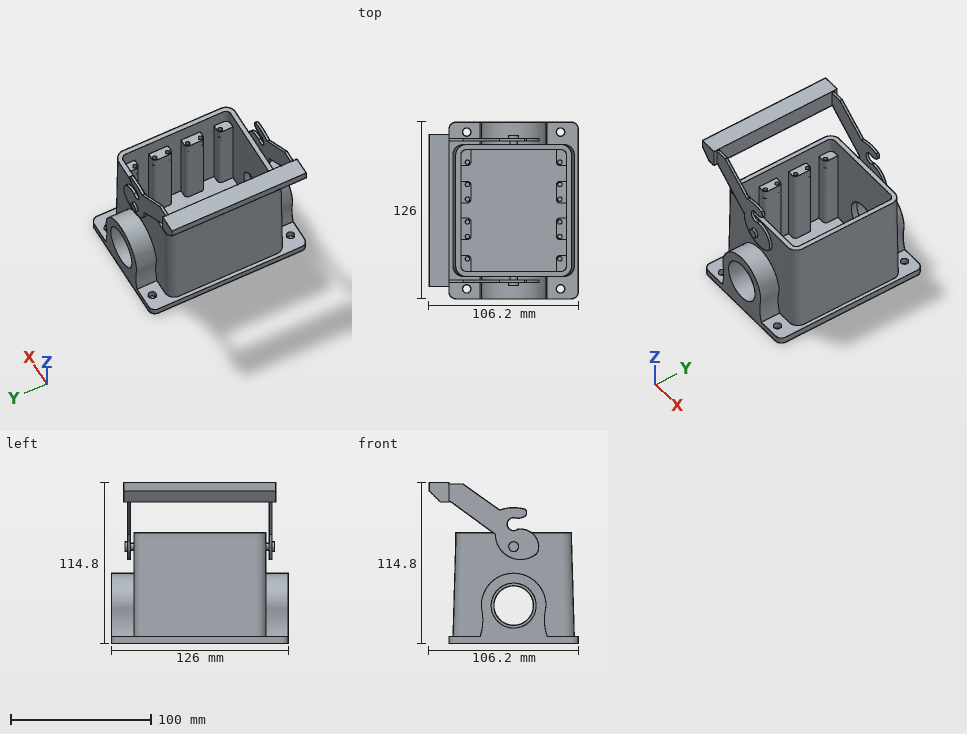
import cadquery as cq
import math

flange_x = 92.2
flange_y = 126.0
flange_thickness = 5.2
flange_corner_radius = 5.2
mounting_hole_diameter = 5.8
mounting_hole_x = 33.4
mounting_hole_y = 55.8

shell_height = 79.0
rim_height = 5.5
shell_top_x = 82.5
shell_bottom_x = 86.4
shell_y = 94.0
shell_corner_radius = 7.5
wall = 3.7
rim_base_z = shell_height - rim_height

pillar_drop = 12.1
pillar_top_z = shell_height - pillar_drop
pillar_face_x = 30.4
pillar_inner_end = 5.3
pillar_outer_end = 20.8
corner_pillar_end = 32.0
pillar_edge_radius = 2.9
screw_hole_diameter = 3.2
screw_hole_depth = 7.5
screw_hole_x = 32.9
screw_hole_ys = (8.1, 18.5, 34.4)

entry_z = 27.1
hood_radius = 23.0
hood_crown_end_z = 29.6
hood_waist_z = 24.5
hood_waist_half_width = 22.7
hood_foot_half_width = 23.8
entry_bore_diameter = 32.0
entry_hole_diameter = 28.0
entry_bore_depth = 14.7

overall_height = 114.8
bar_size = 14.0
bar_chamfer = 8.0
bar_length = 108.4
bar_front_x = -60.1
bar_back_x = bar_front_x + bar_size
bar_bottom_z = overall_height - bar_size

arm_inner_y = 49.4
arm_thickness = 2.0
arm_outer_y = arm_inner_y + arm_thickness
arm_top_z = 113.8
arm_bottom_z = 101.2
arm_top_bend_x = -36.2
arm_bottom_bend_x = -45.1

pivot_z = 69.0
pin_diameter = 5.2
pin_head_diameter = 7.0
pin_head_height = 1.9

slot_centre = (0.0, 85.0)
slot_radius = 4.5
cam_centre = (4.9, 68.7)
cam_radius = 13.0
heel_centre = (cam_centre[0], 77.7)
heel_radius = 17.9
nose_radius = 6.3
hook_root = (-10.0, 95.1)
hook_crest = (0.0, 96.9)
hook_tip_top = (7.8, 95.9)
hook_tip = (9.3, 93.0)
hook_tip_bottom = (8.1, 90.6)
slot_lip_x = 1.0
hook_underside = (4.8, 89.3)


def rounded_slab(size_x, size_y, radius, bottom_z, top_z):
    """Upright block with rounded vertical corners."""
    return (
        cq.Workplane("XY", origin=(0, 0, bottom_z))
        .rect(size_x, size_y)
        .extrude(top_z - bottom_z)
        .edges("|Z")
        .fillet(radius)
    )


def rounded_rectangle(size_x, size_y, radius, height):
    """Flat rounded rectangle at the given height, for lofting."""
    flat = cq.Sketch().rect(size_x, size_y).vertices().fillet(radius)
    return flat.moved(cq.Location(cq.Vector(0, 0, height)))


def shell_outside():
    """Solid outer volume of the shell: leaning walls below an upright rim."""
    walls = (
        cq.Workplane("XY")
        .placeSketch(
            rounded_rectangle(shell_bottom_x, shell_y, shell_corner_radius, flange_thickness),
            rounded_rectangle(shell_top_x, shell_y, shell_corner_radius, rim_base_z),
        )
        .loft(ruled=True)
    )
    rim = rounded_slab(shell_top_x, shell_y, shell_corner_radius, rim_base_z, shell_height)
    return walls.union(rim)


def cavity():
    """Upright-walled space inside the shell, down to the flange top."""
    cavity_x = shell_top_x - 2 * wall
    cavity_y = shell_y - 2 * wall
    return rounded_slab(cavity_x, cavity_y, shell_corner_radius - wall, flange_thickness, shell_height)


def hoods():
    """Arched blocks around both cable entries, flared at the foot."""
    crown_half_width = math.sqrt(hood_radius**2 - (hood_crown_end_z - entry_z) ** 2)
    crown_diagonal = hood_radius * math.sqrt(0.5)
    half = (
        cq.Workplane("XZ", origin=(0, flange_y / 2, 0))
        .moveTo(0, entry_z + hood_radius)
        .threePointArc((crown_diagonal, entry_z + crown_diagonal), (crown_half_width, hood_crown_end_z))
        .tangentArcPoint((hood_waist_half_width, hood_waist_z), relative=False)
        .tangentArcPoint((hood_foot_half_width, flange_thickness), relative=False)
        .lineTo(0, flange_thickness)
        .close()
        .extrude(flange_y)
    )
    return half.union(half.mirror("YZ"))


def pillar(side, end_a, end_b):
    """Pillar rooted halfway into one X wall, spanning Y from end_a to end_b."""
    depth = (shell_top_x - wall) / 2 - pillar_face_x
    face_edges = "|Z and <X" if side > 0 else "|Z and >X"
    centre_x = side * (pillar_face_x + depth / 2)
    centre_y = (end_a + end_b) / 2
    return (
        cq.Workplane("XY", origin=(centre_x, centre_y, flange_thickness))
        .rect(depth, end_b - end_a)
        .extrude(pillar_top_z - flange_thickness)
        .edges(face_edges)
        .fillet(pillar_edge_radius)
    )


def pillars():
    """Two middle pillars and two corner pillars on each X wall."""
    corner_end = shell_y / 2
    spans = (
        (-corner_end, -corner_pillar_end),
        (-pillar_outer_end, -pillar_inner_end),
        (pillar_inner_end, pillar_outer_end),
        (corner_pillar_end, corner_end),
    )
    group = cq.Workplane("XY")
    for side in (-1, 1):
        for end_a, end_b in spans:
            group = group.union(pillar(side, end_a, end_b))
    return group


def screw_holes():
    """Blind holes in the pillar tops."""
    places = [
        (side_x * screw_hole_x, side_y * y)
        for y in screw_hole_ys
        for side_x in (-1, 1)
        for side_y in (-1, 1)
    ]
    return (
        cq.Workplane("XY", origin=(0, 0, pillar_top_z))
        .pushPoints(places)
        .circle(screw_hole_diameter / 2)
        .extrude(-screw_hole_depth)
    )


def cable_entries():
    """Through hole along Y with a wider bore from each end."""
    cutter = (
        cq.Workplane("XZ", origin=(0, flange_y / 2, entry_z))
        .circle(entry_hole_diameter / 2)
        .extrude(flange_y)
    )
    for start_y in (flange_y / 2, entry_bore_depth - flange_y / 2):
        bore = (
            cq.Workplane("XZ", origin=(0, start_y, entry_z))
            .circle(entry_bore_diameter / 2)
            .extrude(entry_bore_depth)
        )
        cutter = cutter.union(bore)
    return cutter


def make_housing():
    """Flanged shell with cable entry hoods and insert pillars."""
    flange = (
        rounded_slab(flange_x, flange_y, flange_corner_radius, 0, flange_thickness)
        .faces(">Z")
        .workplane()
        .rect(2 * mounting_hole_x, 2 * mounting_hole_y, forConstruction=True)
        .vertices()
        .hole(mounting_hole_diameter)
    )
    outside = shell_outside()
    return (
        flange.union(outside)
        .union(hoods())
        .cut(cavity())
        .union(pillars().intersect(outside))
        .cut(screw_holes())
        .cut(cable_entries())
    )


def right_crossing(lower_centre, lower_radius, upper_centre, upper_radius):
    """Right-hand crossing point of two circles, the second lying above the first."""
    dx = upper_centre[0] - lower_centre[0]
    dz = upper_centre[1] - lower_centre[1]
    gap = math.hypot(dx, dz)
    along = (gap**2 + lower_radius**2 - upper_radius**2) / (2 * gap)
    across = math.sqrt(lower_radius**2 - along**2)
    return (
        lower_centre[0] + (along * dx + across * dz) / gap,
        lower_centre[1] + (along * dz - across * dx) / gap,
    )


def arm(outer_y):
    """Sheet arm with a cam heel, a catch slot and a hook; its face towards +Y lies at outer_y."""
    slot_mouth = right_crossing(cam_centre, cam_radius, slot_centre, slot_radius)
    nose = right_crossing(cam_centre, cam_radius, heel_centre, heel_radius)
    cam_diagonal = cam_radius * math.sqrt(0.5)
    heel_bottom = (heel_centre[0], heel_centre[1] - heel_radius)
    heel_left = (heel_centre[0] - heel_radius, heel_centre[1])
    slot_lip = (slot_centre[0] + slot_lip_x, slot_centre[1] + math.sqrt(slot_radius**2 - slot_lip_x**2))
    nose_edge = cq.selectors.NearestToPointSelector((nose[0], outer_y - arm_thickness / 2, nose[1]))
    return (
        cq.Workplane("XZ", origin=(0, outer_y, 0))
        .moveTo(bar_back_x, arm_top_z)
        .lineTo(arm_top_bend_x, arm_top_z)
        .lineTo(*hook_root)
        .threePointArc(hook_crest, hook_tip_top)
        .threePointArc(hook_tip, hook_tip_bottom)
        .threePointArc(hook_underside, slot_lip)
        .threePointArc((slot_centre[0] - slot_radius, slot_centre[1]), slot_mouth)
        .threePointArc((cam_centre[0] + cam_diagonal, cam_centre[1] + cam_diagonal), nose)
        .threePointArc(heel_bottom, heel_left)
        .lineTo(arm_bottom_bend_x, arm_bottom_z)
        .lineTo(bar_back_x, arm_bottom_z)
        .close()
        .extrude(arm_thickness)
        .edges(nose_edge)
        .fillet(nose_radius)
    )


def pivot_pin():
    """Headed pin on the +Y side, from the shell wall through the arm."""
    head_end_y = arm_outer_y + pin_head_height
    shaft = (
        cq.Workplane("XZ", origin=(0, head_end_y, pivot_z))
        .circle(pin_diameter / 2)
        .extrude(head_end_y - shell_y / 2)
    )
    head = (
        cq.Workplane("XZ", origin=(0, head_end_y, pivot_z))
        .circle(pin_head_diameter / 2)
        .extrude(pin_head_height)
    )
    return shaft.union(head)


def make_lever():
    """Grip bar with an arm and a pivot pin at each end."""
    bar = (
        cq.Workplane("XZ", origin=(0, bar_length / 2, 0))
        .moveTo(bar_front_x, overall_height)
        .lineTo(bar_back_x, overall_height)
        .lineTo(bar_back_x, bar_bottom_z)
        .lineTo(bar_front_x + bar_chamfer, bar_bottom_z)
        .lineTo(bar_front_x, bar_bottom_z + bar_chamfer)
        .close()
        .extrude(bar_length)
    )
    side = arm(arm_outer_y).union(pivot_pin())
    return bar.union(side).union(side.mirror("XZ"))


housing = make_housing()
lever = make_lever()
result = cq.Compound.makeCompound([housing.val(), lever.val()])